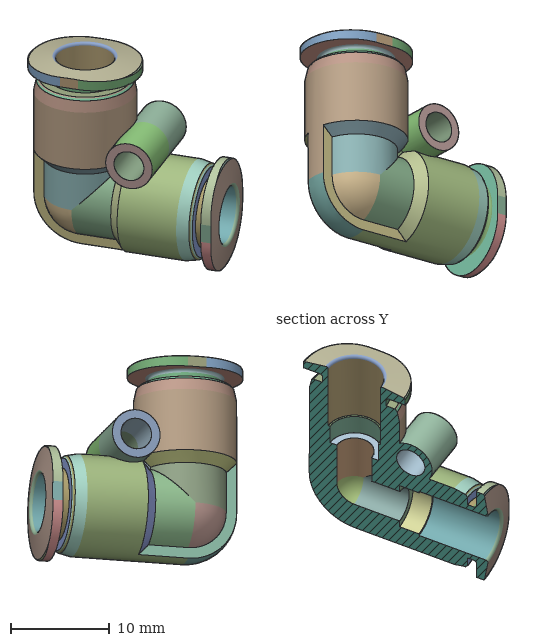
import cadquery as cq

body_radius = 5.254
body_start = body_radius
body_taper_start = 11.62
body_lip_start = 12.86
body_lip_middle = 13.01
body_end = 13.15
body_taper_radius = 4.99
body_lip_radius = 9.7 / 2
body_end_radius = 4.7
elbow_radius = 4.2
web_thickness = 2.65

neck_radius = 7.4 / 2
neck_flare = 0.32
flange_bottom = 14.12
flange_top = 15.5
flange_length = 11.81
flange_width = 9.85
flange_rim_height = 14.95
crown_edge_radius = 5.75
crown_edge_height = 15.09

mouth_round = 0.3
collar_bore_radius = 6 / 2
tube_bore_radius = 5.59 / 2
tube_bore_top = 7.5
passage_radius = 4.0 / 2

eye_offset = 6.53
eye_diameter = 5.0
eye_hole_diameter = 3.2
eye_length = 2 * body_radius


def turn_to_x(arm):
    """Swing an arm from +Z to +X."""
    return arm.rotate((0, 0, 0), (0, 1, 0), 90)


def both_arms(arm):
    return arm.union(turn_to_x(arm))


def round_elbow(radius, length):
    """Two joined cylinders with a ball at the corner."""
    arm = cq.Workplane("XY").circle(radius).extrude(length)
    return both_arms(arm).union(cq.Workplane("XY").sphere(radius))


def socket():
    """Body sleeve and neck, turned about Z."""
    return (
        cq.Workplane("XZ")
        .moveTo(0, elbow_radius)
        .lineTo(elbow_radius, elbow_radius)
        .lineTo(body_radius, body_start)
        .lineTo(body_radius, body_taper_start)
        .lineTo(body_taper_radius, body_lip_start)
        .lineTo(body_lip_radius, body_lip_middle)
        .lineTo(body_end_radius, body_end)
        .lineTo(neck_radius, body_end)
        .lineTo(neck_radius, flange_bottom - neck_flare)
        .radiusArc((neck_radius + neck_flare, flange_bottom), neck_flare)
        .lineTo(0, flange_bottom)
        .close()
        .revolve(360, (0, 0), (0, 1))
    )


def flange():
    """Oval plate with a shallow conical crown, bevelled at its two long ends."""
    plate = (
        cq.Workplane("XY", origin=(0, 0, flange_bottom))
        .slot2D(flange_length, flange_width)
        .extrude(flange_top - flange_bottom)
    )
    crown = (
        cq.Workplane("XZ")
        .moveTo(0, flange_bottom)
        .lineTo(flange_length / 2, flange_bottom)
        .lineTo(flange_length / 2, flange_rim_height)
        .lineTo(crown_edge_radius, crown_edge_height)
        .lineTo(collar_bore_radius + mouth_round, flange_top)
        .lineTo(0, flange_top)
        .close()
        .revolve(360, (0, 0), (0, 1))
    )
    return plate.intersect(crown)


def bore():
    """Stepped tube socket with a rounded mouth."""
    return (
        cq.Workplane("XZ")
        .moveTo(0, body_start)
        .lineTo(tube_bore_radius, body_start)
        .lineTo(tube_bore_radius, tube_bore_top)
        .lineTo(collar_bore_radius, tube_bore_top)
        .lineTo(collar_bore_radius, flange_top - mouth_round)
        .radiusArc((collar_bore_radius + mouth_round, flange_top), mouth_round)
        .lineTo(0, flange_top)
        .close()
        .revolve(360, (0, 0), (0, 1))
    )


def web():
    """Flat rib around the elbow, flush with the body sleeves."""
    slab_size = 4 * body_radius
    slab = cq.Workplane("XY").box(slab_size, web_thickness, slab_size)
    return round_elbow(body_radius, body_start).intersect(slab)


def eye_cylinder(diameter):
    return (
        cq.Workplane("XZ")
        .center(eye_offset, eye_offset)
        .circle(diameter / 2)
        .extrude(eye_length / 2, both=True)
    )


outside = (
    round_elbow(elbow_radius, body_start)
    .union(web())
    .union(both_arms(socket().union(flange())))
    .union(eye_cylinder(eye_diameter))
)
passages = round_elbow(passage_radius, body_start).union(both_arms(bore()))
result = outside.cut(passages).cut(eye_cylinder(eye_hole_diameter))